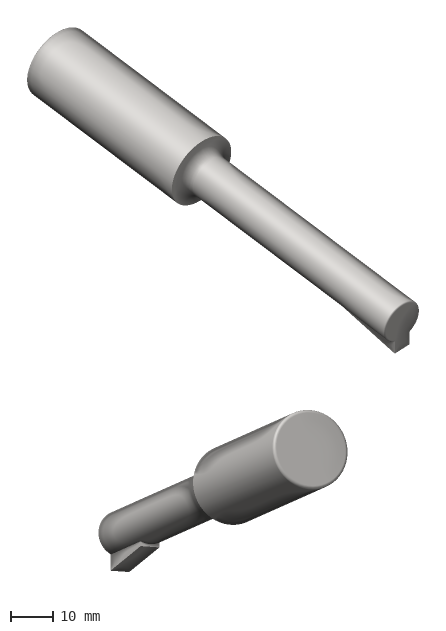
import cadquery as cq
import math

total_length = 120.65
body_length = 50.8
body_diameter = 19.05
shank_diameter = 11.12

body_end_round = 0.76
shank_end_round = 0.4
neck_fillet = 3.175

blade_length = 19.05
blade_thickness = 4.76
blade_depth_tip = 8.87
blade_taper_angle = 8

body_start = -total_length / 2
body_end = body_start + body_length
shank_end = total_length / 2


def make_turned_body():
    """Body and shank revolved as one profile, with rounded ends and a filleted neck."""
    body_radius = body_diameter / 2
    shank_radius = shank_diameter / 2
    profile = (
        cq.Workplane("XZ")
        .moveTo(body_start, 0)
        .lineTo(body_start, body_radius - body_end_round)
        .radiusArc((body_start + body_end_round, body_radius), body_end_round)
        .lineTo(body_end, body_radius)
        .lineTo(body_end, shank_radius + neck_fillet)
        .radiusArc((body_end + neck_fillet, shank_radius), -neck_fillet)
        .lineTo(shank_end - shank_end_round, shank_radius)
        .radiusArc((shank_end, shank_radius - shank_end_round), shank_end_round)
        .lineTo(shank_end, 0)
        .close()
    )
    return profile.revolve(360, (0, 0, 0), (1, 0, 0))


def make_blade():
    """Flat plate on the shank's mid-plane, deepening towards the free end."""
    blade_start = shank_end - blade_length
    blade_depth_inner = blade_depth_tip - blade_length * math.tan(math.radians(blade_taper_angle))
    outline = (
        cq.Workplane("XZ")
        .moveTo(blade_start, 0)
        .lineTo(blade_start, -blade_depth_inner)
        .lineTo(shank_end, -blade_depth_tip)
        .lineTo(shank_end, 0)
        .close()
    )
    return outline.extrude(blade_thickness / 2, both=True)


result = make_turned_body().union(make_blade())